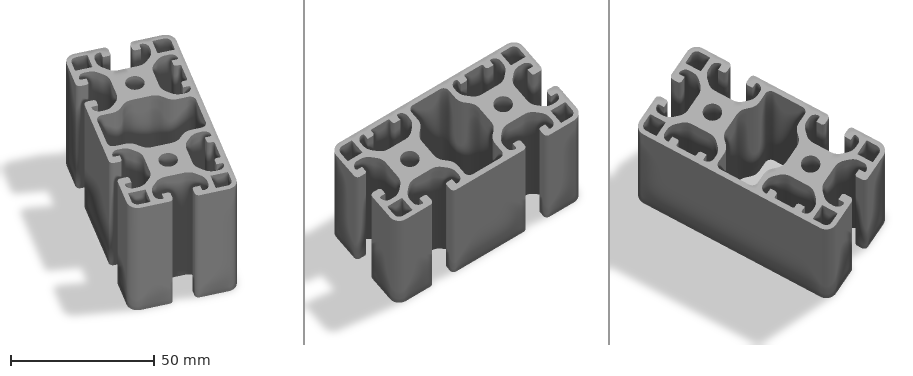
import cadquery as cq
import math

length = 80.0
width = 40.0
height = 50.0
outer_radius = 4.0
wall = 2.0

cell_half = width / 2
cell_centre_x = length / 2 - cell_half
core_half = 7.75
bore_diameter = 6.8

opening_half = 4.0
lip_half = 7.0
lip_depth = 4.5
lip_outer_radius = 1.5
lip_inner_radius = 1.0
closed_floor_radius = 0.5
cavity_half = 10.0
cavity_depth = cell_half - core_half
groove_inner_radius = 0.5
groove_outer_radius = cavity_half - lip_half - groove_inner_radius

web_start_depth = 7.9
web_end_half = cavity_half - (cavity_depth - web_start_depth)
web_radius = 5.0

pocket_wall = 1.8
pocket_size = 6.35
pocket_outer_radius = outer_radius - pocket_wall
pocket_inner_radius = 0.4

chamber_half_x = cell_half - cavity_half - wall
chamber_half_y = cell_half - wall
chamber_waist_half_x = cell_centre_x - core_half
chamber_waist_half_y = web_end_half
chamber_taper_y = chamber_waist_half_y + chamber_waist_half_x - chamber_half_x
chamber_corner_radius = 2.2


def rounded_prism(corners):
    """Full-height prism over (x, y, radius) corners, each rounded by a tangent arc."""
    tolerance = 1e-6
    path = cq.Workplane("XY")
    for i, (x, y, radius) in enumerate(corners):
        last_x, last_y, _ = corners[i - 1]
        next_x, next_y, _ = corners[(i + 1) % len(corners)]
        corner = cq.Vector(x, y)
        to_last = (cq.Vector(last_x, last_y) - corner).normalized()
        to_next = (cq.Vector(next_x, next_y) - corner).normalized()
        half_angle = to_last.getAngle(to_next) / 2
        setback = radius / math.tan(half_angle)
        start = corner + to_last * setback
        if i == 0:
            path = path.moveTo(start.x, start.y)
        elif (start - end).Length > tolerance:
            path = path.lineTo(start.x, start.y)
        end = corner + to_next * setback
        if radius > 0:
            inward = (to_last + to_next).normalized()
            middle = corner + inward * (radius / math.sin(half_angle) - radius)
            path = path.threePointArc((middle.x, middle.y), (end.x, end.y))
    return path.close().extrude(height)


def mirror_in_y_axis(half):
    """A half outline followed by its mirror image across the Y axis."""
    return half + [(-x, y, radius) for x, y, radius in reversed(half)]


def slot_cutter(is_open):
    """T-slot cutter on the cell centred at the origin, entering from its -Y face."""
    face = -cell_half
    if is_open:
        clear = face - wall
        entry = [
            (lip_half, clear, 0),
            (lip_half, face, 0),
            (opening_half, face, lip_outer_radius),
        ]
    else:
        entry = [(opening_half, face + wall, closed_floor_radius)]
    cavity = [
        (opening_half, face + lip_depth, lip_inner_radius),
        (lip_half, face + lip_depth, 0),
        (lip_half, face + wall, groove_inner_radius),
        (cavity_half, face + wall, groove_outer_radius),
        (cavity_half, face + web_start_depth, web_radius),
        (web_end_half, face + cavity_depth, web_radius),
    ]
    return rounded_prism(mirror_in_y_axis(entry + cavity))


def pocket_cutter(side_x, side_y):
    """Corner pocket on the given sides, with its rounded corner toward the outside."""
    outer_x = side_x * (length / 2 - pocket_wall)
    outer_y = side_y * (width / 2 - pocket_wall)
    inner_x = outer_x - side_x * pocket_size
    inner_y = outer_y - side_y * pocket_size
    return rounded_prism([
        (outer_x, outer_y, pocket_outer_radius),
        (outer_x, inner_y, pocket_inner_radius),
        (inner_x, inner_y, 0),
        (inner_x, outer_y, 0),
    ])


def chamber_cutter():
    """Central chamber, widening between the cores."""
    upper = [
        (chamber_half_x, chamber_half_y, chamber_corner_radius),
        (chamber_half_x, chamber_taper_y, web_radius),
        (chamber_waist_half_x, chamber_waist_half_y, web_radius),
    ]
    right = upper + [(x, -y, radius) for x, y, radius in reversed(upper)]
    return rounded_prism(mirror_in_y_axis(right))


def turned(shape, angle):
    """The shape rotated about the Z axis by an angle in degrees."""
    return shape.rotate((0, 0, 0), (0, 0, 1), angle)


profile = cq.Workplane("XY").box(length, width, height, centered=(True, True, False))
profile = profile.edges("|Z").fillet(outer_radius)
profile = profile.cut(chamber_cutter())

open_slot = slot_cutter(is_open=True)
closed_slot = turned(slot_cutter(is_open=False), 180)
bore = cq.Workplane("XY").circle(bore_diameter / 2).extrude(height)
for side_x in (-1, 1):
    end_slot = turned(open_slot, side_x * 90)
    for cutter in (open_slot, closed_slot, end_slot, bore):
        profile = profile.cut(cutter.translate((side_x * cell_centre_x, 0, 0)))
    for side_y in (-1, 1):
        profile = profile.cut(pocket_cutter(side_x, side_y))

result = profile